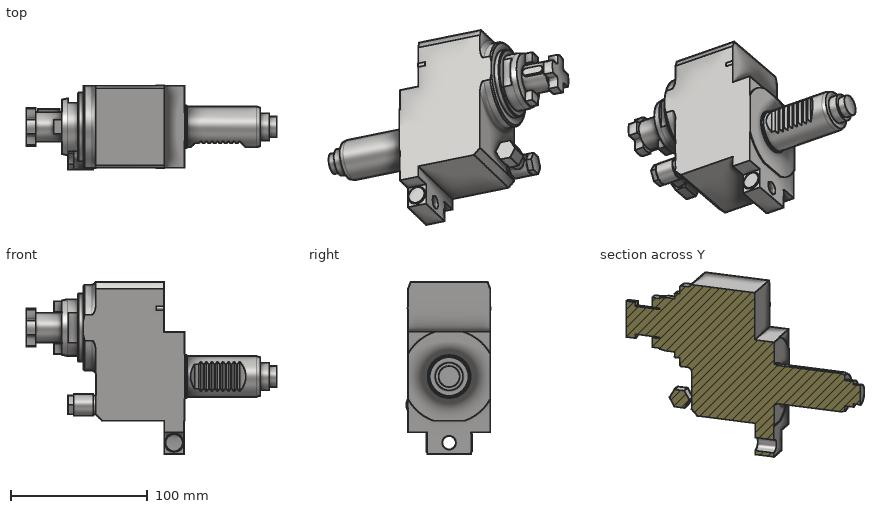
import cadquery as cq
import math


body_front_x = -65.0
body_step_x = -15.0
body_rear_x = -0.4
seat_x = 0.2
body_half_width = 30.1
body_top_z = 69.2
shoulder_z = 32.7
body_bottom_z = -32.5
rear_bottom_z = -41.0
top_chamfer_width = 1.8
top_chamfer_height = 5.0
bottom_chamfer = 4.8
seat_radius = 34.3

block_half_width = 16.1
block_bottom_z = -56.7
block_centre_x = (body_step_x + body_rear_x) / 2
block_hole_z = -48.5
block_hole_diameter = 9.7
stud_radius = 6.8
stud_length = 0.7
stud_chamfer = 0.5

pin_radius = 3.1
pin_height = 0.4
pin_length = 5.7
pin_z = 50.0
pin_far_y = body_half_width + pin_height
pin_near_y = -pin_far_y

spindle_z = 35.8
spindle_base_radius = 31.5
spindle_base_x = -74.1
spindle_base_chamfer = 1.1
root_fillet = 3.0
flange_radius = 25.1
flange_x = -78.2
flange_chamfer = 0.7
collar_radius = 21.0
collar_nose_radius = 20.0
collar_taper_x = -85.7
collar_x = -89.7
collar_flat_half_width = 17.8
collar_flat_length = 6.8
arbor_radius = 11.0
arbor_x = -108.8
nose_x = -116.0
nose_radius = 14.1
nose_arm_width = 10.1
nose_inner_fillet = 1.7

lug_x = -95.6
lug_width = nose_arm_width
lug_inner_radius = 11.5
lug_outer_radius = 19.5
key_front_x = -107.5
key_rear_x = -91.4
key_width = 5.5
key_top_y = 13.2

shank_radius = 15.0
shank_end_x = 55.5
shank_end_chamfer_length = 3.0
shank_end_chamfer_depth = 1.0
shank_flange_radius = 15.8
shank_flange_length = 1.1
shank_flange_end_x = 2.0
neck_radius = 10.1
neck_end_x = 62.0
tip_radius = 7.7
tip_end_x = 67.5

tooth_crest_y = -12.1
tooth_root_y = -10.5
tooth_pitch = 4.0
tooth_count = 8
first_root_x = 12.0
rack_flat_x = 7.3
cut_clearance = 1.8

screw_y = -23.3
screw_z = -20.7
screw_radius = 8.0
screw_head_x = -85.3
screw_body_x = -81.1
screw_neck_x = -67.0
screw_neck_radius = 7.2
nut_x = -74.3
nut_across_flats = 13.8
nut_left_y = 6.2
nut_right_y = -8.6
nozzle_radius = 5.3


def box(x0, x1, y0, y1, z0, z1):
    """Box between two corners."""
    return cq.Workplane("XY").box(x1 - x0, y1 - y0, z1 - z0, centered=False).translate((x0, y0, z0))


def cylinder_x(radius, x0, x1, y=0, z=0):
    """Cylinder along X between x0 and x1."""
    return cq.Workplane("YZ", origin=(x0, y, z)).circle(radius).extrude(x1 - x0)


def cylinder_y(radius, y0, y1, x, z):
    """Cylinder along Y between y0 and y1."""
    return cq.Workplane("XZ", origin=(x, y0, z)).circle(radius).extrude(y0 - y1)


def make_housing():
    side_outline = [
        (body_front_x, body_top_z),
        (body_step_x, body_top_z),
        (body_step_x, shoulder_z),
        (body_rear_x, shoulder_z),
        (body_rear_x, rear_bottom_z),
        (body_step_x, rear_bottom_z),
        (body_step_x, body_bottom_z),
        (body_front_x + bottom_chamfer, body_bottom_z),
        (body_front_x, body_bottom_z + bottom_chamfer),
    ]
    housing = cq.Workplane("XZ").polyline(side_outline).close().extrude(body_half_width, both=True)

    for side in (1, -1):
        chamfer_outline = [
            (side * body_half_width, body_top_z),
            (side * (body_half_width - top_chamfer_width), body_top_z),
            (side * body_half_width, body_top_z - top_chamfer_height),
        ]
        wedge = cq.Workplane("YZ", origin=(body_front_x, 0, 0)).polyline(chamfer_outline).close()
        housing = housing.cut(wedge.extrude(body_step_x - body_front_x))

    seat = cylinder_x(seat_radius, body_rear_x, seat_x)
    seat_limits = box(
        body_rear_x, seat_x, -body_half_width, body_half_width, body_bottom_z, shoulder_z
    )
    return housing.union(seat.intersect(seat_limits))


def make_clamping_block():
    block = box(body_step_x, body_rear_x, -block_half_width, block_half_width, block_bottom_z, rear_bottom_z)
    stud_end_y = block_half_width + stud_length
    studs = cylinder_y(stud_radius, -stud_end_y, stud_end_y, block_centre_x, block_hole_z)
    studs = studs.faces("<Y or >Y").chamfer(stud_chamfer)
    hole = cylinder_x(block_hole_diameter / 2, body_step_x, body_rear_x, 0, block_hole_z)
    return block.union(studs).cut(hole)


def make_locating_pin(tip_y, inward):
    """Pin lying along X, sunk in a side face so that only its crown stands out."""
    centre_y = tip_y + inward * pin_radius
    return cylinder_x(pin_radius, body_step_x - pin_length, body_step_x, centre_y, pin_z)


def make_spindle_base():
    """Wide round base with a hollow fillet into the housing, trimmed to the housing sides."""
    fillet_mid = root_fillet * (1 - math.sqrt(0.5))
    profile = (
        cq.Workplane("XY")
        .moveTo(body_front_x, 0)
        .lineTo(spindle_base_x, 0)
        .lineTo(spindle_base_x, spindle_base_radius - spindle_base_chamfer)
        .lineTo(spindle_base_x + spindle_base_chamfer, spindle_base_radius)
        .lineTo(body_front_x - root_fillet, spindle_base_radius)
        .threePointArc(
            (body_front_x - fillet_mid, spindle_base_radius + fillet_mid),
            (body_front_x, spindle_base_radius + root_fillet),
        )
        .close()
    )
    base = profile.revolve(360, (0, 0, 0), (1, 0, 0)).translate((0, 0, spindle_z))
    limits = box(
        spindle_base_x, body_front_x, -body_half_width, body_half_width, body_bottom_z, body_top_z
    )
    return base.intersect(limits)


def make_spindle():
    profile = (
        cq.Workplane("XY")
        .moveTo(spindle_base_x, 0)
        .lineTo(arbor_x, 0)
        .lineTo(arbor_x, arbor_radius)
        .lineTo(collar_x, arbor_radius)
        .lineTo(collar_x, collar_nose_radius)
        .lineTo(collar_taper_x, collar_radius)
        .lineTo(flange_x, collar_radius)
        .lineTo(flange_x, flange_radius - flange_chamfer)
        .lineTo(flange_x + flange_chamfer, flange_radius)
        .lineTo(spindle_base_x, flange_radius)
        .close()
    )
    spindle = profile.revolve(360, (0, 0, 0), (1, 0, 0)).translate((0, 0, spindle_z))

    for y0, y1 in ((collar_flat_half_width, collar_radius), (-collar_radius, -collar_flat_half_width)):
        spindle = spindle.cut(
            box(
                flange_x - collar_flat_length, flange_x, y0, y1,
                spindle_z - collar_radius, spindle_z + collar_radius,
            )
        )

    arm = cq.Workplane("YZ", origin=(nose_x, 0, spindle_z))
    length = arbor_x - nose_x
    cross = arm.rect(2 * nose_radius, nose_arm_width).extrude(length)
    cross = cross.union(arm.rect(nose_arm_width, 2 * nose_radius).extrude(length))
    half_arm = nose_arm_width / 2
    inner_corners = cq.selectors.BoxSelector(
        (nose_x, -arbor_radius, spindle_z - arbor_radius),
        (arbor_x, arbor_radius, spindle_z + arbor_radius),
    )
    cross = cross.edges("|X").edges(inner_corners).fillet(nose_inner_fillet)
    cross = cross.intersect(cylinder_x(nose_radius, nose_x, arbor_x, 0, spindle_z))
    spindle = spindle.union(cross)

    for side in (1, -1):
        z_ends = sorted((spindle_z + side * lug_inner_radius, spindle_z + side * lug_outer_radius))
        spindle = spindle.union(box(lug_x, collar_x, -lug_width / 2, lug_width / 2, *z_ends))

    key = (
        cq.Workplane("XZ", origin=((key_front_x + key_rear_x) / 2, key_top_y, spindle_z))
        .slot2D(key_rear_x - key_front_x, key_width)
        .extrude(key_top_y)
    )
    return spindle.union(key)


def make_shank():
    profile = [
        (0, 0),
        (0, shank_flange_radius),
        (shank_flange_length, shank_flange_radius),
        (shank_flange_end_x, shank_radius),
        (shank_end_x - shank_end_chamfer_length, shank_radius),
        (shank_end_x, shank_radius - shank_end_chamfer_depth),
        (shank_end_x, neck_radius),
        (neck_end_x, neck_radius),
        (neck_end_x, tip_radius),
        (tip_end_x, tip_radius),
        (tip_end_x, 0),
    ]
    shank = cq.Workplane("XY").polyline(profile).close().revolve(360, (0, 0, 0), (1, 0, 0))

    tooth_depth = tooth_root_y - tooth_crest_y
    outside_y = -shank_radius - cut_clearance
    last_root_x = first_root_x + (tooth_count - 1) * tooth_pitch
    rack = [
        (rack_flat_x - (tooth_crest_y - outside_y), outside_y),
        (rack_flat_x, tooth_crest_y),
    ]
    for i in range(tooth_count):
        root_x = first_root_x + i * tooth_pitch
        rack.append((root_x - tooth_depth, tooth_crest_y))
        rack.append((root_x, tooth_root_y))
        if i < tooth_count - 1:
            rack.append((root_x + tooth_depth, tooth_crest_y))
    rack.append((last_root_x + tooth_root_y - outside_y, outside_y))
    cutter = cq.Workplane("XY").polyline(rack).close().extrude(shank_radius, both=True)
    return shank.cut(cutter)


def make_coolant_screw():
    head = (
        cq.Workplane("YZ", origin=(screw_head_x, screw_y, screw_z))
        .polygon(6, 2 * screw_radius)
        .extrude(screw_body_x - screw_head_x)
    )
    shaft = cylinder_x(screw_radius, screw_body_x, screw_neck_x, screw_y, screw_z)
    neck = cylinder_x(screw_neck_radius, screw_neck_x, body_front_x, screw_y, screw_z)
    return head.union(shaft).union(neck)


def make_swivel_nut():
    """Hexagonal nut lying along Y, joined to the screw by a round nozzle."""
    corner_diameter = nut_across_flats / math.cos(math.pi / 6)
    nut = (
        cq.Workplane("XZ", origin=(nut_x, nut_left_y, screw_z))
        .polygon(6, corner_diameter)
        .extrude(nut_left_y - nut_right_y)
    )
    return nut.union(cylinder_y(nozzle_radius, nut_right_y, screw_y, nut_x, screw_z))


result = (
    make_housing()
    .union(make_clamping_block())
    .union(make_locating_pin(pin_far_y, -1))
    .union(make_locating_pin(pin_near_y, 1))
    .union(make_spindle_base())
    .union(make_spindle())
    .union(make_shank())
    .union(make_coolant_screw())
    .union(make_swivel_nut())
)